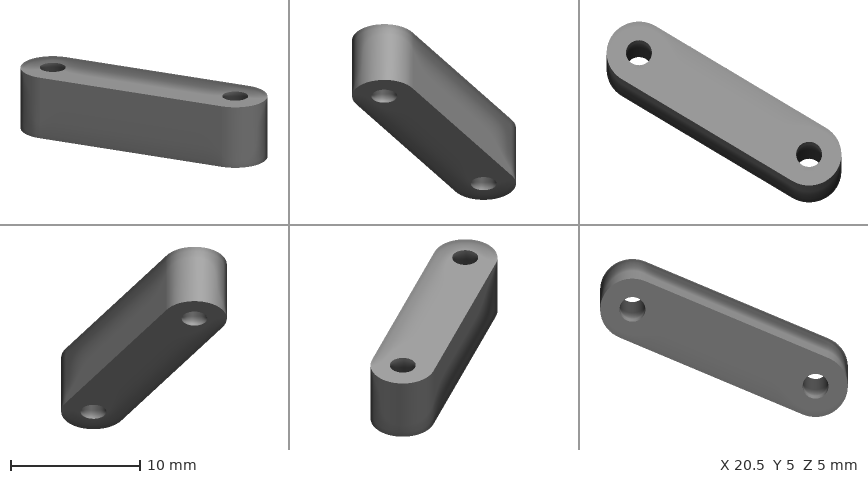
import cadquery as cq

length = 20.5
width = 5.0
height = 5.0
hole_diameter = 2.0

hole_spacing = length - width

bar = cq.Workplane("XY").slot2D(length, width).extrude(height / 2, both=True)

result = (
    bar.faces(">Z")
    .workplane()
    .pushPoints([(side * hole_spacing / 2, 0) for side in (-1, 1)])
    .hole(hole_diameter)
)